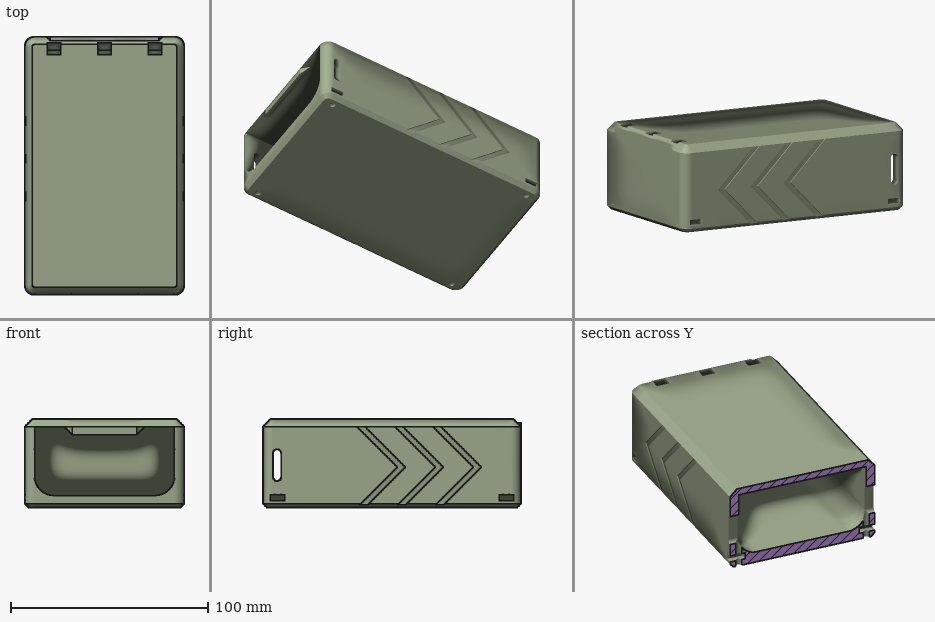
import cadquery as cq
import math

width = 81.0
length = 131.0
height = 45.0
side_wall = 5.0
corner_radius = side_wall
top_chamfer = 3.9
bottom_chamfer = 2.1
shoulder_z = height - top_chamfer
half_width = width / 2
half_length = length / 2

rear_wall = 10.0
floor_thickness = 6.2
floor_fillet = 10.0
cavity_width = width - 2 * side_wall
cavity_length = length - rear_wall
cavity_height = shoulder_z - floor_thickness

catch_front_width = 32.8
catch_size = 4.0

bar_base_width = 59.0
bar_height = 2.0

notch_width = 7.0
notch_length = 6.2
notch_depth = 8.0
notch_ramp = 2.4
notch_rear_gap = 3.1
notch_pitch = 25.5

slot_width = 4.0
slot_height = 16.0
slot_y = 7.2 - half_length
slot_z = (bottom_chamfer + shoulder_z) / 2

hole_diameter = 3.0
hole_x = half_width - side_wall
hole_y = half_length - 7.5
nut_width = 7.2
nut_height = 3.1
nut_base_z = 3.5
nut_pocket_depth = side_wall + nut_width / 2

groove_count = 3
groove_width = 2.9
groove_depth = 0.7
groove_pitch = 19.3
first_apex_y = 45.3


def make_shell():
    outer = cq.Workplane("XY").box(width, length, height, centered=(True, True, False))
    outer = outer.edges("|Z").fillet(corner_radius)
    outer = outer.faces(">Z").chamfer(top_chamfer)
    return outer.faces("<Z").chamfer(bottom_chamfer)


def make_cavity():
    block = cq.Workplane("XY").box(cavity_width, cavity_length, cavity_height, centered=(True, False, False))
    block = block.edges("|Y and <Z").fillet(floor_fillet)
    return block.translate((0, -half_length, floor_thickness))


def make_catch():
    """Upright front face, with 45 degree flanks and underside running back to the roof."""
    back_width = catch_front_width + 2 * catch_size
    plan = (
        cq.Workplane("XY")
        .workplane(offset=shoulder_z - catch_size)
        .moveTo(-catch_front_width / 2, -half_length)
        .lineTo(catch_front_width / 2, -half_length)
        .lineTo(back_width / 2, catch_size - half_length)
        .lineTo(-back_width / 2, catch_size - half_length)
        .close()
        .extrude(catch_size)
    )
    wedge = (
        cq.Workplane("YZ")
        .moveTo(-half_length, shoulder_z - catch_size)
        .lineTo(catch_size - half_length, shoulder_z)
        .lineTo(-half_length, shoulder_z)
        .close()
        .extrude(back_width / 2, both=True)
    )
    return plan.intersect(wedge)


def make_rear_bar():
    """Trapezoid with 45 degree ends, sunk into the chamfer and flush with the rear face."""
    top_width = bar_base_width - 2 * bar_height
    return (
        cq.Workplane("XZ", origin=(0, half_length, shoulder_z))
        .moveTo(-bar_base_width / 2, 0)
        .lineTo(bar_base_width / 2, 0)
        .lineTo(top_width / 2, bar_height)
        .lineTo(-top_width / 2, bar_height)
        .close()
        .extrude(top_chamfer)
    )


def make_notch(x):
    """Pocket with a 45 degree ramp along the front side of its bottom."""
    rear_y = half_length - notch_rear_gap
    front_y = rear_y - notch_length
    bottom_z = height - notch_depth
    return (
        cq.Workplane("YZ", origin=(x, 0, 0))
        .moveTo(front_y, height)
        .lineTo(front_y, bottom_z + notch_ramp)
        .lineTo(front_y + notch_ramp, bottom_z)
        .lineTo(rear_y, bottom_z)
        .lineTo(rear_y, height)
        .close()
        .extrude(notch_width / 2, both=True)
    )


def make_strap_slots():
    return (
        cq.Workplane("YZ")
        .center(slot_y, slot_z)
        .slot2D(slot_height, slot_width, 90)
        .extrude(half_width, both=True)
    )


def make_screw_holes():
    """Blind holes from the bottom face up to the arc centre of the lower slot ends."""
    hole_top = slot_z - (slot_height - slot_width) / 2
    return (
        cq.Workplane("XY")
        .rect(2 * hole_x, 2 * hole_y, forConstruction=True)
        .vertices()
        .circle(hole_diameter / 2)
        .extrude(hole_top)
    )


def make_nut_pocket(side, end):
    pocket = cq.Workplane("XY").box(nut_pocket_depth, nut_width, nut_height, centered=(True, True, False))
    return pocket.translate((side * (half_width - nut_pocket_depth / 2), end * hole_y, nut_base_z))


def make_groove(apex_y):
    """Chevron pointing to the rear with 45 degree arms, cut into both side faces."""
    arm_rise = shoulder_z / 2
    arm_width = groove_width * math.sqrt(2)
    chevron = (
        cq.Workplane("YZ")
        .moveTo(apex_y, arm_rise)
        .lineTo(apex_y - arm_rise, shoulder_z)
        .lineTo(apex_y - arm_rise - arm_width, shoulder_z)
        .lineTo(apex_y - arm_width, arm_rise)
        .lineTo(apex_y - arm_rise - arm_width, 0)
        .lineTo(apex_y - arm_rise, 0)
        .close()
        .extrude(half_width, both=True)
    )
    core = cq.Workplane("XY").box(width - 2 * groove_depth, length, 2 * height)
    return chevron.cut(core)


result = make_shell().union(make_rear_bar()).cut(make_cavity()).union(make_catch())
for notch_x in (-notch_pitch, 0, notch_pitch):
    result = result.cut(make_notch(notch_x))
result = result.cut(make_strap_slots()).cut(make_screw_holes())
for side in (-1, 1):
    for end in (-1, 1):
        result = result.cut(make_nut_pocket(side, end))
for index in range(groove_count):
    result = result.cut(make_groove(first_apex_y - index * groove_pitch))